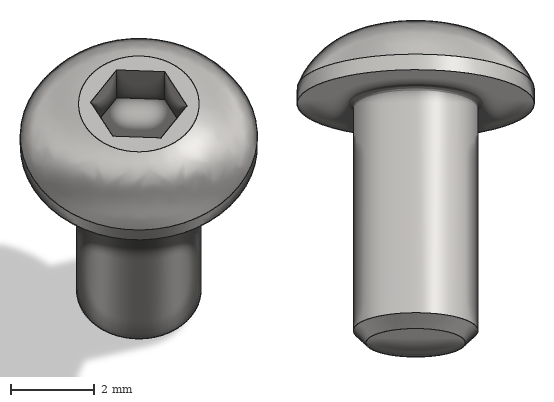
import cadquery as cq
import math

total_length = 7.65
head_height = 1.65
head_radius = 5.7 / 2
rim_height = 0.39
dome_radius = 2.18
crown_flat_radius = 2.9 / 2
shank_radius = 3.0 / 2
tip_chamfer = 0.305
neck_fillet = 0.1
socket_across_flats = 2.005
socket_depth = 1.1

shank_length = total_length - head_height


def make_body():
    """Revolve the head, neck fillet, shank and chamfered tip."""
    profile = (
        cq.Workplane("XZ")
        .moveTo(0, -shank_length)
        .lineTo(shank_radius - tip_chamfer, -shank_length)
        .lineTo(shank_radius, tip_chamfer - shank_length)
        .lineTo(shank_radius, -neck_fillet)
        .radiusArc((shank_radius + neck_fillet, 0), neck_fillet)
        .lineTo(head_radius, 0)
        .lineTo(head_radius, rim_height)
        .radiusArc((crown_flat_radius, head_height), -dome_radius)
        .lineTo(0, head_height)
        .close()
    )
    return profile.revolve(360, (0, 0), (0, 1))


def make_socket():
    """Blind hexagon with two corners on the Y axis."""
    across_corners = socket_across_flats / math.cos(math.pi / 6)
    return (
        cq.Workplane("XY")
        .workplane(offset=head_height - socket_depth)
        .transformed(rotate=(0, 0, 90))
        .polygon(6, across_corners)
        .extrude(socket_depth)
    )


result = make_body().cut(make_socket())